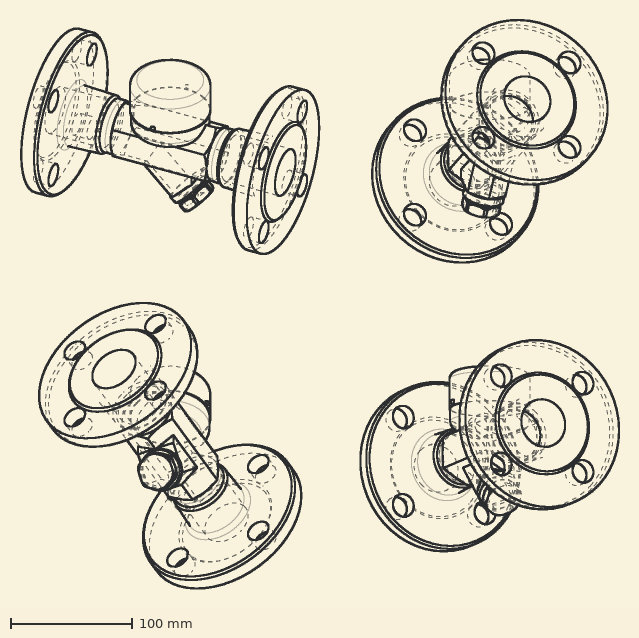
import cadquery as cq
import math

length = 210.0
half_length = length / 2

flange_dia = 140.0
flange_edge_chamfer = 2.0
raised_face_dia = 85.3
raised_face_height = 2.0
flange_back = 89.0
bore_dia = 40.0
bolt_circle_dia = 105.0
bolt_hole_dia = 19.0
bolt_count = 4

hub_root_dia = 52.3
hub_end_dia = 50.0
hub_end = 56.3
hub_fillet = 4.0
neck_dia = 46.0
neck_start = 53.5
neck_end = 48.5
neck_inner_dia = 45.0

body_flats = 45.4
body_corner_dia = body_flats / math.cos(math.pi / 6)
body_half_length = 43.9
body_end_dia = neck_inner_dia
body_end_chamfer = (body_corner_dia - body_end_dia) / 2 * math.tan(math.pi / 6)

cap_dia = 66.5
cap_top = 61.5
cap_step = 31.3
cap_top_fillet = 5.7
cap_seat_dia = 65.0
cap_bottom = 13.6
cap_bottom_fillet = 7.0
nub_radius = 1.9
nub_height = 34.0

branch_origin_x = -24.0
branch_length = 54.2
branch_flats = 32.5
branch_keel = 16.5
branch_side_limit = 27.3
collar_dia = 34.0
collar_length = 6.0
plug_neck_length = 0.5
plug_flats = 29.0
plug_neck_dia = plug_flats
plug_corner_dia = 32.1
plug_chamfer = 1.3
plug_length = 8.6


def turned_about_pipe(profile):
    """Solid of revolution about the pipe axis from (x, radius) points."""
    return cq.Workplane("XY").polyline(profile).close().revolve(360, (0, 0, 0), (1, 0, 0))


def hub_and_flange():
    """Inlet flange, hub and weld neck, reaching to mid length, with a blind bore."""
    face_radius = raised_face_dia / 2
    flange_radius = flange_dia / 2
    flange_front = half_length - raised_face_height
    profile = [
        (-half_length, 0),
        (-half_length, face_radius - raised_face_height),
        (-flange_front, face_radius),
        (-flange_front, flange_radius),
        (-flange_back - flange_edge_chamfer, flange_radius),
        (-flange_back, flange_radius - flange_edge_chamfer),
        (-flange_back, hub_root_dia / 2),
        (-hub_end, hub_end_dia / 2),
        (-neck_start, neck_dia / 2),
        (-neck_end, neck_dia / 2),
        (-body_half_length, neck_inner_dia / 2),
        (0, neck_inner_dia / 2),
        (0, 0),
    ]
    solid = turned_about_pipe(profile)
    back_face = solid.faces("|X").faces(">X[-2]")
    solid = back_face.edges(cq.selectors.RadiusNthSelector(0)).fillet(hub_fillet)

    face = cq.Workplane("YZ", origin=(-half_length, 0, 0))
    bore = face.circle(bore_dia / 2).extrude(half_length - hub_end)
    first_bolt_angle = 180 / bolt_count
    bolt_holes = (
        face.polarArray(bolt_circle_dia / 2, first_bolt_angle, 360, bolt_count)
        .circle(bolt_hole_dia / 2)
        .extrude(half_length - flange_back)
    )
    return solid.cut(bore).cut(bolt_holes)


def hex_body():
    """Hexagonal bar along X with turned chamfers on both ends."""
    ends = cq.Workplane("YZ", origin=(-body_half_length, 0, 0))
    bar = (
        ends.transformed(rotate=(0, 0, 90))
        .polygon(6, body_corner_dia)
        .extrude(2 * body_half_length)
    )
    shoulder = body_half_length - body_end_chamfer
    profile = [
        (-body_half_length, 0),
        (-body_half_length, body_end_dia / 2),
        (-shoulder, body_corner_dia / 2),
        (shoulder, body_corner_dia / 2),
        (body_half_length, body_end_dia / 2),
        (body_half_length, 0),
    ]
    envelope = turned_about_pipe(profile)
    return bar.intersect(envelope)


def cap():
    """Round cap on a slightly narrower seat, with a locating nub at front and back."""
    seat = (
        cq.Workplane("XY", origin=(0, 0, cap_bottom))
        .circle(cap_seat_dia / 2)
        .extrude(cap_step - cap_bottom)
        .faces("<Z").edges().fillet(cap_bottom_fillet)
    )
    cover = (
        cq.Workplane("XY", origin=(0, 0, cap_step))
        .circle(cap_dia / 2)
        .extrude(cap_top - cap_step)
        .faces(">Z").edges().fillet(cap_top_fillet)
    )
    nubs = (
        cq.Workplane("XY", origin=(0, 0, nub_height))
        .pushPoints([(0, -cap_dia / 2), (0, cap_dia / 2)])
        .sphere(nub_radius)
    )
    return seat.union(cover).union(nubs)


branch_plane = cq.Plane(origin=(branch_origin_x, 0, 0), xDir=(-1, 0, -1), normal=(1, 0, -1))


def branch_block():
    """Branch with a V-shaped underside, its flat sides merging into the body."""
    half_width = branch_flats / 2
    shoulder = branch_keel - half_width * math.tan(math.pi / 6)
    profile = [
        (branch_keel, 0),
        (shoulder, half_width),
        (-body_half_length, half_width),
        (-body_half_length, -half_width),
        (shoulder, -half_width),
    ]
    block = cq.Workplane(branch_plane).polyline(profile).close().extrude(branch_length)
    kept_region = cq.Workplane("XY").box(
        branch_side_limit + body_half_length, branch_flats, length, centered=(False, True, False)
    ).translate((-body_half_length, 0, -length))
    return block.intersect(kept_region)


def branch_plug():
    """Collar with a 45 degree nose, then a hexagonal screw plug."""
    nose_length = (collar_dia - plug_neck_dia) / 2
    plug_start = branch_length + collar_length + nose_length + plug_neck_length

    profile = [
        (0, branch_length),
        (collar_dia / 2, branch_length),
        (collar_dia / 2, branch_length + collar_length),
        (plug_neck_dia / 2, branch_length + collar_length + nose_length),
        (plug_neck_dia / 2, plug_start),
        (0, plug_start),
    ]
    side_plane = cq.Plane(
        origin=branch_plane.origin, xDir=branch_plane.xDir, normal=branch_plane.yDir.multiply(-1)
    )
    turned = cq.Workplane(side_plane).polyline(profile).close().revolve(360, (0, 0, 0), (0, 1, 0))

    plug_base = cq.Workplane(branch_plane).workplane(offset=plug_start)
    trim = plug_base.circle(plug_corner_dia / 2).extrude(plug_length).edges().chamfer(plug_chamfer)
    hexagon = plug_base.polygon(6, plug_flats / math.cos(math.pi / 6)).extrude(plug_length)
    return turned.union(hexagon.intersect(trim))


inlet = hub_and_flange()
outlet = inlet.mirror("YZ")
pipe = inlet.union(outlet).union(hex_body())
result = pipe.union(cap()).union(branch_block()).union(branch_plug())